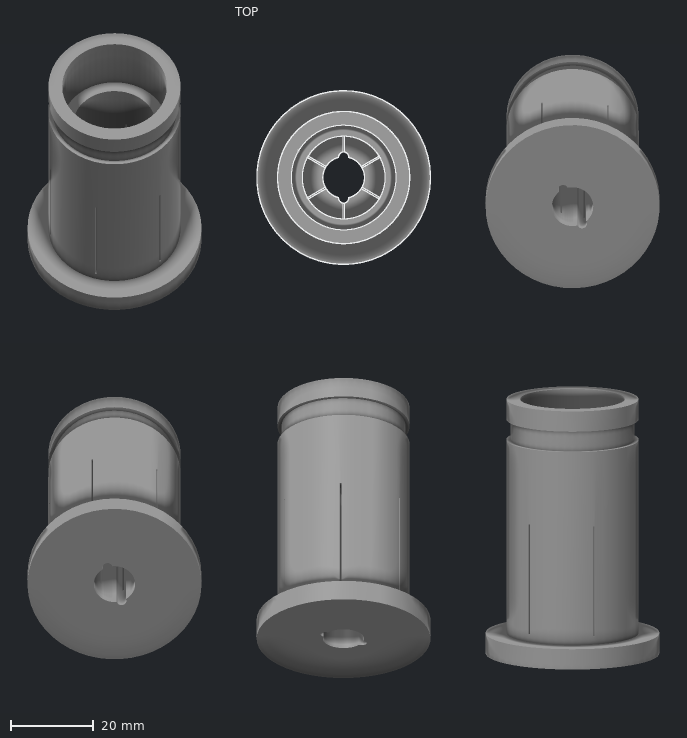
import cadquery as cq

total_height = 62.5
flange_diameter = 42.0
flange_height = 5.0
body_diameter = 32.0

collar_diameter = 31.9
collar_height = 5.0
groove_width = 5.0
groove_diameter = 30.0

socket_diameter = 25.3
socket_depth = 15.5
middle_bore_diameter = 20.0
middle_bore_depth = 15.0
through_diameter = 10.0

keyway_diameter = 2.4
keyway_offset = 4.95

slot_count = 6
slot_width = 0.4
slot_clearance = 2.0
slot_bottom = flange_height + slot_clearance
slot_height = 27.0


def cylinder(diameter, bottom, top):
    """Cylinder on the Z axis between two heights."""
    return cq.Workplane("XY").workplane(offset=bottom).circle(diameter / 2).extrude(top - bottom)


def make_sleeve():
    """Flanged sleeve with a groove under its top collar."""
    groove_top = total_height - collar_height
    groove_bottom = groove_top - groove_width
    flange = cylinder(flange_diameter, 0, flange_height)
    body = cylinder(body_diameter, flange_height, groove_bottom)
    neck = cylinder(groove_diameter, groove_bottom, groove_top)
    collar = cylinder(collar_diameter, groove_top, total_height)
    return flange.union(body).union(neck).union(collar)


def make_bore():
    """Stepped bore, narrowing downwards, with two opposite keyways."""
    socket_floor = total_height - socket_depth
    jaw_top = socket_floor - middle_bore_depth
    socket = cylinder(socket_diameter, socket_floor, total_height)
    middle = cylinder(middle_bore_diameter, jaw_top, socket_floor)
    through = cylinder(through_diameter, 0, jaw_top)
    keyways = (
        cq.Workplane("XY")
        .pushPoints([(0, keyway_offset), (0, -keyway_offset)])
        .circle(keyway_diameter / 2)
        .extrude(jaw_top)
    )
    return socket.union(middle).union(through).union(keyways)


def make_slot(angle):
    """Thin slot from the axis out through the wall, starting from +Y."""
    reach = flange_diameter / 2
    slot = (
        cq.Workplane("XY")
        .workplane(offset=slot_bottom)
        .center(0, reach / 2)
        .rect(slot_width, reach)
        .extrude(slot_height)
    )
    return slot.rotate((0, 0, 0), (0, 0, 1), angle)


result = make_sleeve().cut(make_bore())
for index in range(slot_count):
    result = result.cut(make_slot(index * 360 / slot_count))